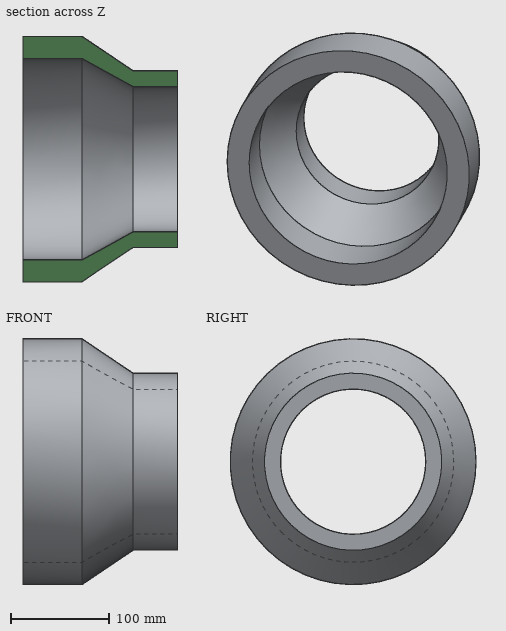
import cadquery as cq

large_outer_diameter = 250.0
large_bore_diameter = 204.5
small_outer_diameter = 180.0
small_bore_diameter = 147.2

large_end_length = 60.0
taper_length = 52.0
small_end_length = 45.0

taper_start = large_end_length
taper_end = taper_start + taper_length
total_length = taper_end + small_end_length


def stepped_cone(large_diameter, small_diameter):
    """Solid of two cylinders joined by a cone, revolved about the X axis."""
    large_radius = large_diameter / 2
    small_radius = small_diameter / 2
    return (
        cq.Workplane("XY")
        .polyline([
            (0, 0),
            (0, large_radius),
            (taper_start, large_radius),
            (taper_end, small_radius),
            (total_length, small_radius),
            (total_length, 0),
        ])
        .close()
        .revolve(360, (0, 0, 0), (1, 0, 0))
    )


body = stepped_cone(large_outer_diameter, small_outer_diameter)
bore = stepped_cone(large_bore_diameter, small_bore_diameter)

result = body.cut(bore)